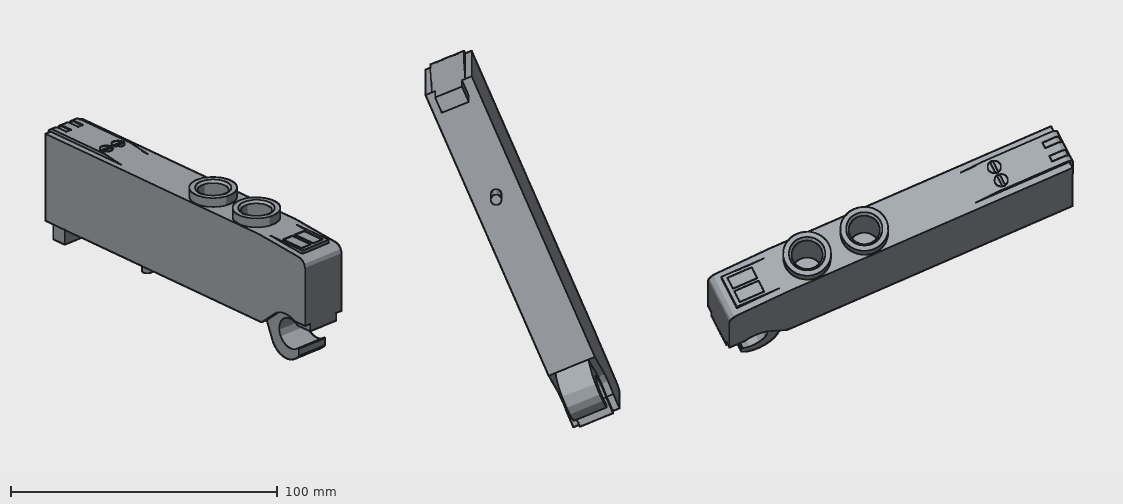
import cadquery as cq
import math


length = 143.8
width = 18.8
body_front_x = 1.5
body_top_z = 36.4
top_slope_x = 118.6
slope_drop = 2.0
nose_radius = 3.7
relief_end_z = 7.0

core_width = 13.5

cover_top_z = 37.7
cover_radius = 2.7
cover_flat_end_x = 31.2
cover_end_x = 40.3
cover_taper_z = 24.3

groove_end_x = 7.5
groove_width = 2.5
groove_depth = 0.5

screw_x = 28.0
screw_diameter = 5.0
screw_recess = 0.3
screw_slot_width = 1.2
screw_slot_depth = 0.5
cover_detail_y = 3.0

port_xs = (83.4, 107.1)
port_diameter = 18.0
port_top_z = 40.1
bore_diameter = 11.6
bore_chamfer = 1.0
bore_depth = 17.3

label_start_x = 122.0
label_end_x = 139.5
label_top_z = body_top_z - slope_drop * (label_start_x - top_slope_x) / (length - top_slope_x)
window_start_x = 127.5
window_end_x = 137.6
window_width = 4.9
window_y = 3.0
window_depth = 0.3

hook_x = 133.0
hook_z = -0.9
rail_radius = 6.2
rim_radius = 9.2
mouth_half_height = 4.7
hook_root_x = 120.0
jaw_x = 130.7
jaw_z = -3.6
jaw_radius = 8.5
jaw_end_x = 137.6

foot_length = 6.5
foot_width = 11.0
foot_depth = 9.0
pin_x = 47.3
pin_diameter = 4.0
pin_depth = 7.8
root_overlap = 1.5


def slab(outline, thickness):
    """Extrude an XZ outline to a slab centred on the middle plane."""
    return outline.close().extrude(thickness / 2, both=True)


def block(x_start, x_end, y_center, y_width, z_bottom, z_top):
    size = (x_end - x_start, y_width, z_top - z_bottom)
    return cq.Workplane("XY").box(*size, centered=(False, True, False)).translate((x_start, y_center, z_bottom))


def tangent_point(start, center, radius, side):
    """Touch point on a circle of the tangent from start; side = 1 turns counter-clockwise, -1 clockwise."""
    dx = start[0] - center[0]
    dz = start[1] - center[1]
    angle = math.atan2(dz, dx) + side * math.acos(radius / math.hypot(dx, dz))
    return (center[0] + radius * math.cos(angle), center[1] + radius * math.sin(angle))


def lower_circle_point(center, radius, x):
    """Lower point of a circle at a given X."""
    return (x, center[1] - math.sqrt(radius**2 - (x - center[0]) ** 2))


hook_root = (hook_root_x, 0)
rail_center = (hook_x, hook_z)
jaw_center = (jaw_x, jaw_z)


def body():
    rim_start = tangent_point(hook_root, rail_center, rim_radius, -1)
    rim_end_x = hook_x + math.sqrt(rim_radius**2 - (relief_end_z - hook_z) ** 2)
    outline = (
        cq.Workplane("XZ")
        .moveTo(body_front_x, 0)
        .lineTo(*hook_root)
        .lineTo(*rim_start)
        .threePointArc((hook_x, hook_z + rim_radius), (rim_end_x, relief_end_z))
        .lineTo(length, relief_end_z)
        .lineTo(length, body_top_z - slope_drop)
        .lineTo(top_slope_x, body_top_z)
        .lineTo(body_front_x, body_top_z)
    )
    return slab(outline, width).faces(">X").edges(">Z").fillet(nose_radius)


def cover_profile(inset):
    """Cover with its front face and top moved inwards by inset."""
    top_z = cover_top_z - inset
    outline = (
        cq.Workplane("XZ")
        .moveTo(body_front_x + inset, 0)
        .lineTo(inset, cover_taper_z)
        .lineTo(inset, cover_top_z - cover_radius)
        .radiusArc((cover_radius, top_z), cover_radius - inset)
        .lineTo(cover_flat_end_x, top_z)
        .lineTo(cover_end_x, body_top_z - inset)
        .lineTo(cover_end_x, 0)
    )
    return slab(outline, core_width)


def cover_groove(y):
    bottom_z = cover_top_z - cover_radius
    return block(0, groove_end_x, y, groove_width, bottom_z, cover_top_z).cut(cover_profile(groove_depth))


def screw_recess_cut(y):
    floor_z = cover_top_z - screw_recess
    disc = cq.Workplane("XY", origin=(screw_x, y, floor_z)).circle(screw_diameter / 2).extrude(screw_recess)
    slot_start_x = screw_x - screw_slot_width / 2
    slot = block(
        slot_start_x, slot_start_x + screw_slot_width, y, screw_diameter, floor_z - screw_slot_depth, cover_top_z
    )
    round_limit = cq.Workplane("XY", origin=(screw_x, y, 0)).circle(screw_diameter / 2).extrude(cover_top_z)
    return disc.union(slot.intersect(round_limit))


def hook():
    """Hook of the centre section, with the strip above its mouth."""
    mouth_top_z = hook_z + mouth_half_height
    mouth_bottom_z = hook_z - mouth_half_height
    mouth_x = hook_x + math.sqrt(rail_radius**2 - mouth_half_height**2)
    outline = (
        cq.Workplane("XZ")
        .moveTo(hook_root_x, relief_end_z)
        .lineTo(*hook_root)
        .lineTo(*tangent_point(hook_root, jaw_center, jaw_radius, 1))
        .threePointArc((jaw_x, jaw_z - jaw_radius), lower_circle_point(jaw_center, jaw_radius, jaw_end_x))
        .lineTo(jaw_end_x, mouth_bottom_z)
        .lineTo(mouth_x, mouth_bottom_z)
        .threePointArc((hook_x - rail_radius, hook_z), (mouth_x, mouth_top_z))
        .lineTo(length, mouth_top_z)
        .lineTo(length, relief_end_z + nose_radius)
        .lineTo(hook_root_x, relief_end_z + nose_radius)
    )
    return slab(outline, core_width)


def port(x):
    return cq.Workplane("XY", origin=(x, 0, 0)).circle(port_diameter / 2).extrude(port_top_z)


def port_bore(x):
    """Blind bore with a chamfered mouth."""
    bore_radius = bore_diameter / 2
    return (
        cq.Workplane("XZ", origin=(x, 0, 0))
        .moveTo(0, port_top_z - bore_depth)
        .lineTo(bore_radius, port_top_z - bore_depth)
        .lineTo(bore_radius, port_top_z - bore_chamfer)
        .lineTo(bore_radius + bore_chamfer, port_top_z)
        .lineTo(0, port_top_z)
        .close()
        .revolve(360, (0, 0), (0, 1))
    )


def label_window(y):
    return block(window_start_x, window_end_x, y, window_width, label_top_z - window_depth, label_top_z)


foot = block(body_front_x, body_front_x + foot_length, 0, foot_width, -foot_depth, root_overlap)
pin = cq.Workplane("XY", origin=(pin_x, 0, -pin_depth)).circle(pin_diameter / 2).extrude(pin_depth + root_overlap)
label = block(label_start_x, label_end_x, 0, core_width, label_top_z - slope_drop, label_top_z)

result = body().union(cover_profile(0)).union(hook()).union(foot).union(pin).union(label)
for port_x in port_xs:
    result = result.union(port(port_x)).cut(port_bore(port_x))
for side in (-1, 1):
    result = result.cut(cover_groove(side * cover_detail_y))
    result = result.cut(screw_recess_cut(side * cover_detail_y))
    result = result.cut(label_window(side * window_y))